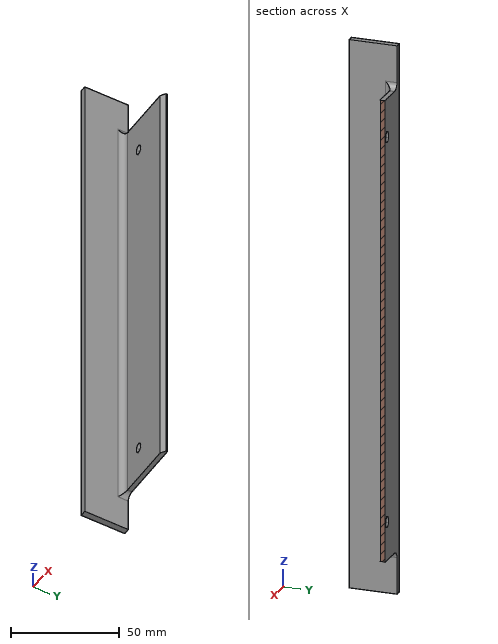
import cadquery as cq

width = 37.7
depth = 23.5
length = 269.2

plate_thickness = 3.2
flange_thickness = 2.5
flange_inset = 21.3
flange_length = length - 2 * flange_inset

root_radius = 3.2
bevel_width = 2.5
bevel_depth = 1.5

slot_width = 3.2
slot_length = 5.0
slot_x = 16.2
slot_end_distance = 40.0

flange_front = depth - flange_thickness


def make_plate():
    return cq.Workplane("XY").box(plate_thickness, depth, length, centered=False)


def make_flange():
    """Flange with a beveled free edge and a fillet along its root."""
    return (
        cq.Workplane("XY")
        .workplane(offset=flange_inset - root_radius)
        .moveTo(0, depth)
        .lineTo(width, depth)
        .lineTo(width, flange_front + bevel_depth)
        .lineTo(width - bevel_width, flange_front)
        .lineTo(plate_thickness + root_radius, flange_front)
        .radiusArc((plate_thickness, flange_front - root_radius), -root_radius)
        .lineTo(0, flange_front - root_radius)
        .close()
        .extrude(flange_length + 2 * root_radius)
    )


def make_flange_outline():
    """Flange silhouette along Y, flared with arcs where its ends meet the plate."""
    bottom = flange_inset
    top = length - flange_inset
    root_x = plate_thickness + root_radius
    return (
        cq.Workplane("XZ")
        .moveTo(0, bottom - root_radius)
        .lineTo(plate_thickness, bottom - root_radius)
        .radiusArc((root_x, bottom), root_radius)
        .lineTo(width, bottom)
        .lineTo(width, top)
        .lineTo(root_x, top)
        .radiusArc((plate_thickness, top + root_radius), root_radius)
        .lineTo(0, top + root_radius)
        .close()
        .extrude(-depth)
    )


def make_slots():
    """One slot near each end, cut through the flange."""
    return (
        cq.Workplane("XZ")
        .pushPoints([(slot_x, slot_end_distance), (slot_x, length - slot_end_distance)])
        .slot2D(slot_length, slot_width, 90)
        .extrude(-depth)
    )


flange = make_flange().intersect(make_flange_outline())
result = make_plate().union(flange).cut(make_slots())